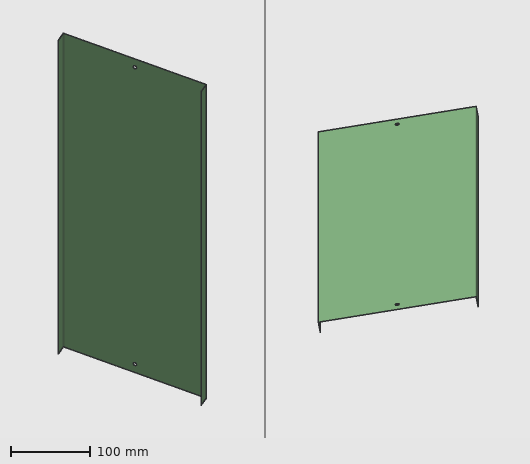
import cadquery as cq

width = 203.2
depth = 14.6
height = 560.0

sheet_thickness = 0.6
inner_bend_radius = 0.1
outer_bend_radius = inner_bend_radius + sheet_thickness

hole_diameter = 5.0
hole_edge_distance = 15.0
hole_spacing = height - 2 * hole_edge_distance


def channel_block(block_width, block_depth, bend_radius):
    """Full-height block with its front face at Y = 0 and its two rear vertical edges rounded."""
    block = cq.Workplane("XY").box(block_width, block_depth, height, centered=(True, False, True))
    return block.edges("|Z and >Y").fillet(bend_radius)


def folded_panel():
    """Flat web at the rear (+Y) with a flange folded forward along each side."""
    outside = channel_block(width, depth, outer_bend_radius)
    inside = channel_block(width - 2 * sheet_thickness, depth - sheet_thickness, inner_bend_radius)
    return outside.cut(inside)


def mounting_holes():
    """Cylinders that pierce the web near its top and bottom ends."""
    return (
        cq.Workplane("XZ")
        .rarray(1, hole_spacing, 1, 2)
        .circle(hole_diameter / 2)
        .extrude(-depth)
    )


result = folded_panel().cut(mounting_holes()).translate((0, -depth / 2, 0))